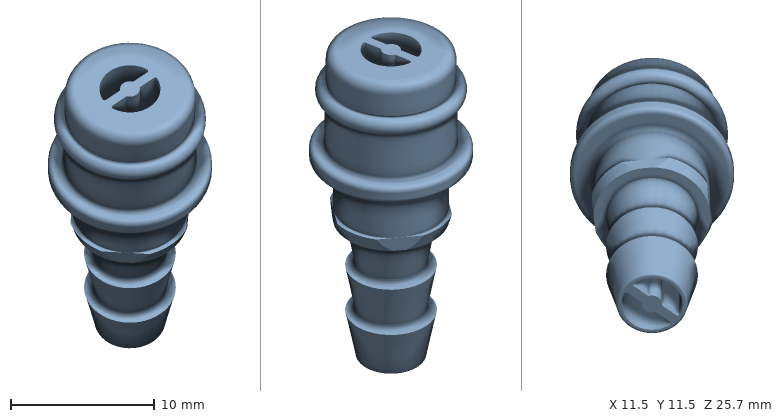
import cadquery as cq
import math

total_height = 25.68
groove_top = 23.15
groove_height = 1.52
flange_top = 17.82
flange_height = 1.3
collar_top = 12.55
collar_bottom = 11.48
barb_pitch = 3.8
lowest_barb_top = 3.83
barb_count = 2

head_radius = 4.57
head_fillet = 0.75
seat_radius = 4.65
seat_fillet = 0.25
flange_diameter = 11.48
flange_radius = flange_diameter / 2
flange_fillet = 0.39
stem_radius = 4.05
stem_fillet = 0.39
collar_top_radius = 4.4
collar_bottom_radius = 4.08
barb_radius = 3.2
neck_radius = 2.6
neck_fillet = 0.39
neck_land = 0.1
tip_radius = 2.5
tip_fillet = 0.2

flat_count = 4
flat_first_angle = 45.0

bore_radius = 2.13
web_thickness = 0.7
hub_radius = 0.7
bore_corner_fillet = 0.15

ring_section_radius = 0.65
ring_outer_radius = 5.32
ring_center_radius = ring_outer_radius - ring_section_radius
groove_floor_radius = ring_center_radius - ring_section_radius
groove_bottom = groove_top - groove_height
ring_height = groove_top - groove_height / 2

flange_bottom = flange_top - flange_height
arc_middle = math.sin(math.radians(45))


def add_concave_fillet(profile, neck, floor, radius, side):
    """Draw a fillet from a neck wall to a flat floor; side is +1 above the floor, -1 below it.

    Above the floor the path runs floor to wall; below it the path runs wall to floor.
    """
    wall_point = (neck, floor + side * radius)
    floor_point = (neck + radius, floor)
    middle = (neck + radius * (1 - arc_middle), floor + side * radius * (1 - arc_middle))
    start, end = (floor_point, wall_point) if side > 0 else (wall_point, floor_point)
    return profile.lineTo(*start).threePointArc(middle, end)


def add_barbs(profile):
    """Draw the hose barbs upwards, each a flat shoulder, a filleted neck and the next cone."""
    for index in range(barb_count):
        shoulder = lowest_barb_top + index * barb_pitch
        profile = profile.lineTo(barb_radius, shoulder)
        profile = add_concave_fillet(profile, neck_radius, shoulder, neck_fillet, 1)
        profile = profile.lineTo(neck_radius, shoulder + neck_fillet + neck_land)
    return profile.lineTo(barb_radius, collar_bottom)


def make_turned_body():
    """Revolve the half outline of the connector about Z."""
    profile = cq.Workplane("XZ").moveTo(0, 0).lineTo(tip_radius - tip_fillet, 0)
    tip_arc_middle = (tip_radius - tip_fillet * (1 - arc_middle), tip_fillet * (1 - arc_middle))
    profile = profile.threePointArc(tip_arc_middle, (tip_radius, tip_fillet))
    profile = add_barbs(profile)
    profile = (
        profile.lineTo(collar_bottom_radius, collar_bottom)
        .lineTo(collar_top_radius, collar_top)
        .lineTo(stem_radius, collar_top)
    )
    profile = add_concave_fillet(profile, stem_radius, flange_bottom, stem_fillet, -1)
    profile = profile.lineTo(flange_radius, flange_bottom).lineTo(flange_radius, flange_top)
    profile = add_concave_fillet(profile, seat_radius, flange_top, seat_fillet, 1)
    profile = (
        profile.lineTo(seat_radius, groove_bottom)
        .lineTo(groove_floor_radius, groove_bottom)
        .lineTo(groove_floor_radius, groove_top)
        .lineTo(head_radius, groove_top)
        .lineTo(head_radius, total_height)
        .lineTo(0, total_height)
        .close()
    )
    return profile.revolve(360, (0, 0, 0), (0, 1, 0))


def round_body_edges(body):
    """Round both flange rims and the leading edge of the head."""
    flange_rims = cq.selectors.BoxSelector(
        (-flange_radius, -flange_radius, flange_bottom - seat_fillet),
        (flange_radius, flange_radius, flange_top + seat_fillet),
    )
    rim_length = 2 * math.pi * flange_radius
    rims = [
        edge
        for edge in body.edges(flange_rims).vals()
        if edge.geomType() == "CIRCLE" and math.isclose(edge.Length(), rim_length, rel_tol=1e-4)
    ]
    body = body.newObject(rims).fillet(flange_fillet)
    return body.faces(">Z").edges().fillet(head_fillet)


def make_collar_flats():
    """Blocks that remove the collar material outside its flats."""
    collar_height = collar_top - collar_bottom
    block = cq.Workplane("XY").box(
        stem_radius, 2 * collar_top_radius, collar_height, centered=(False, True, False)
    )
    block = block.translate((stem_radius, 0, collar_bottom))
    step = 360 / flat_count
    return [
        block.rotate((0, 0, 0), (0, 0, 1), flat_first_angle + index * step)
        for index in range(flat_count)
    ]


def make_passage():
    """The two flow channels left on either side of the web and hub."""
    bore = cq.Workplane("XY").circle(bore_radius).extrude(total_height)
    web = cq.Workplane("XY").rect(web_thickness, 2 * bore_radius).extrude(total_height)
    channels = bore.cut(web)
    channels = channels.edges("|Z").edges(">Y or <Y").fillet(bore_corner_fillet)
    hub = cq.Workplane("XY").circle(hub_radius).extrude(total_height)
    return channels.cut(hub)


def make_connector():
    body = round_body_edges(make_turned_body())
    for flat in make_collar_flats():
        body = body.cut(flat)
    return body.cut(make_passage()).solids()


def make_seal_ring():
    ring = cq.Workplane("XZ").center(ring_center_radius, ring_height).circle(ring_section_radius)
    return ring.revolve(360, (-ring_center_radius, 0, 0), (-ring_center_radius, 1, 0))


connector = make_connector()
seal_ring = make_seal_ring()
result = cq.Compound.makeCompound([connector.val(), seal_ring.val()])